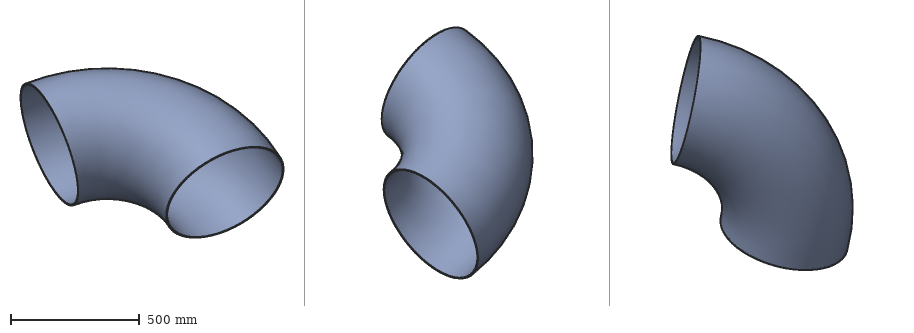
import cadquery as cq

overall_length = 762.0
wall_thickness = 5.0
bend_angle = 90.0

outer_diameter = overall_length / 1.5
inner_diameter = outer_diameter - 2 * wall_thickness
bend_radius = outer_diameter

result = (
    cq.Workplane("XZ")
    .center(-bend_radius, 0)
    .circle(outer_diameter / 2)
    .circle(inner_diameter / 2)
    .revolve(bend_angle, (bend_radius, 0), (bend_radius, -1))
)